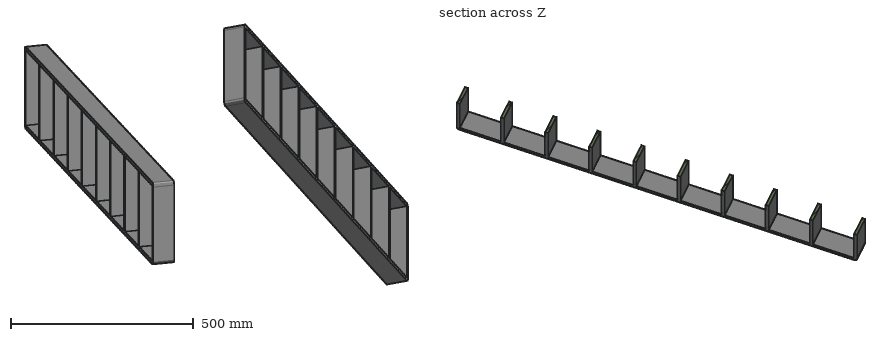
import cadquery as cq

length = 1184.5
depth = 60.0
height = 238.0

upright_thickness = 10.0
rail_thickness = 10.0
corner_radius = 10.0

bay_count = 9
bay_pitch = (length - upright_thickness) / bay_count
bay_width = bay_pitch - upright_thickness
bay_height = height - 2 * rail_thickness


def make_outer_block():
    """Solid block with its four long corners rounded along the depth."""
    return cq.Workplane("XY").box(length, depth, height).edges("|Y").fillet(corner_radius)


def make_bay_openings():
    """Row of sharp-cornered rectangular openings running through the full depth."""
    return (
        cq.Workplane("XZ")
        .rarray(bay_pitch, bay_height, bay_count, 1)
        .rect(bay_width, bay_height)
        .extrude(depth / 2, both=True)
    )


result = make_outer_block().cut(make_bay_openings())